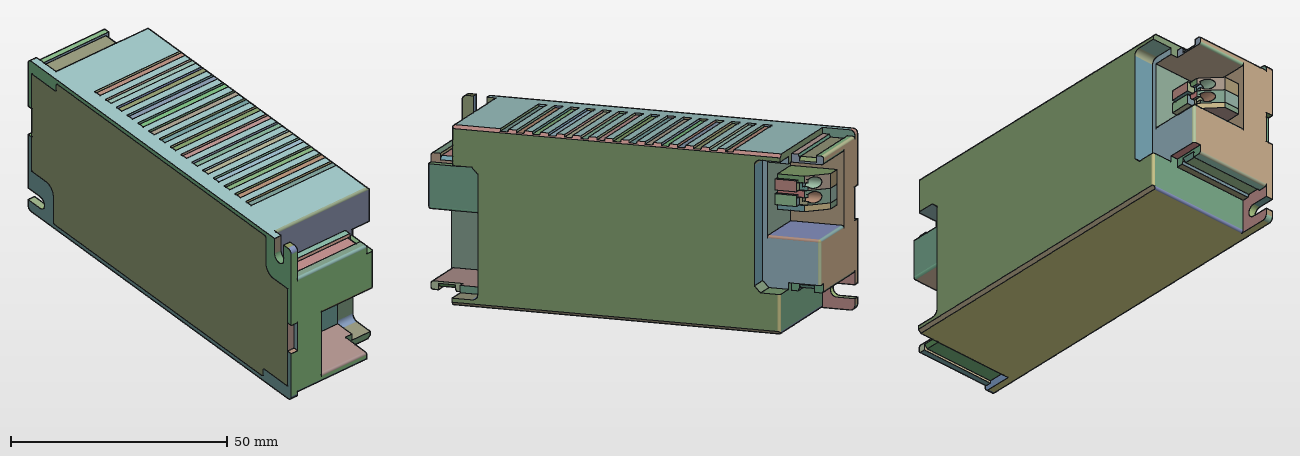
import cadquery as cq

length = 97.0
depth = 30.0
height = 43.0
flange_thickness = 1.9
flange_corner_radius = 1.2

case_half_length = 40.5
case_back_chamfer = 0.8
case_end_rounding = 0.6

end_depth = 24.4
bracket_depth = 22.5
bracket_bottom = 8.9
bracket_top = 41.5
end_rounding = 0.6
block_bottom = 11.2
block_top = 21.9
bracket_underside = 39.5

channel_depth = 0.7
channel_inner_x = 42.5
channel_wall_slope = 0.3
channel_end_bevel = 0.9
upper_channel_outer_x = 46.7
lower_channel_outer_x = 46.2

pocket_front_y = 9.0
pocket_wall_x = 35.3

recess_wall_x = 34.1
recess_bottom = 9.6
recess_top = 41.2
recess_rounding = 1.5

lid_half_length = 47.1
lid_edge_margin = 1.2
lid_small_step_x = 38.1
lid_small_step_margin = 3.5
lid_slot_step_x = 39.2
lid_slot_step_margin = 11.6
lid_corner_radius = 0.5
lid_slot_radius = 2.7

notch_bottom = 21.4
notch_top = 29.5

slot_width = 3.3
slot_depth = 6.0
side_slot_z = 4.5
top_slot_x = 44.0

groove_count = 15
groove_pitch = 4.0
groove_width = 2.0
groove_floor_width = 1.7
groove_depth = 0.5
groove_start_y = 4.0

terminal_count = 2
terminal_height = 3.5
terminal_top = 35.1
terminal_front_x = 46.8
terminal_slope_x = 42.0
terminal_slope_start_y = 13.2
terminal_back_y = 17.75
end_plate_height = 1.5
wire_hole_y = 16.1
wire_hole_radius = 1.4
wire_hole_flat = 1.1
wire_hole_rise = 1.7
wire_hole_floor_x = 41.2
button_front_y = 17.2
button_step_y = 18.3
button_back_y = 19.3
button_height = 2.6
button_step_height = 1.8
button_face_x = 40.5


def box(x_range, y_range, z_range):
    """Box between the given limits."""
    (x0, x1), (y0, y1), (z0, z1) = x_range, y_range, z_range
    return cq.Workplane("XY").box(x1 - x0, y1 - y0, z1 - z0, centered=False).translate((x0, y0, z0))


def half_turn(shape):
    """The same shape at the other end, turned half a turn about the part's Y axis."""
    middle = height / 2
    return shape.rotate((0, 0, middle), (0, 1, middle), 180)


def prism_along_y(points, start_y, end_y):
    """Outline in X and Z, extruded along Y between the given limits."""
    return cq.Workplane("XZ", origin=(0, start_y, 0)).polyline(points).close().extrude(start_y - end_y)


def make_flange():
    flange = box((-length / 2, length / 2), (0, flange_thickness), (0, height))
    return flange.edges("|Y").fillet(flange_corner_radius)


def make_case():
    case = box((-case_half_length, case_half_length), (0, depth), (0, height))
    case = case.edges("|X and >Y").chamfer(case_back_chamfer)
    case = case.edges("(|Y and <X and <Z) or (|Y and >X and >Z)").fillet(case_end_rounding)
    trimming = make_case_corner_trimming()
    return case.cut(trimming).cut(half_turn(trimming))


def make_case_corner_trimming():
    """Material outside the rounded upright edge below the back recess."""
    inner_x = -case_half_length + case_end_rounding
    inner_y = depth - case_end_rounding
    corner = box((-case_half_length, inner_x), (inner_y, depth), (0, recess_bottom))
    rounding = (
        cq.Workplane("XY").center(inner_x, inner_y).circle(case_end_rounding).extrude(recess_bottom)
    )
    return corner.cut(rounding)


def make_bracket():
    bracket = box(
        (-length / 2, -case_half_length), (0, bracket_depth), (bracket_bottom, bracket_top)
    )
    return bracket.edges("|Y and <X").fillet(end_rounding)


def make_end_block():
    """Block below the terminal pocket, rounded along its outer edges."""
    block = box(
        (-length / 2, -pocket_wall_x), (pocket_front_y, end_depth), (block_bottom, block_top)
    )
    return block.edges("(|Y and <X and >Z) or (|X and >Y and >Z) or (|Z and <X and >Y)").fillet(
        end_rounding
    )


def make_channel(outer_x, side, inward):
    """Channel cut inward from a bracket side; its inner wall slopes and its floor is bevelled."""
    floor = side + inward * channel_depth
    channel = prism_along_y(
        [
            (-outer_x, side),
            (-outer_x, floor),
            (-channel_inner_x, floor),
            (-channel_inner_x + channel_wall_slope, side),
        ],
        flange_thickness,
        bracket_depth,
    )
    bevel = (
        cq.Workplane("YZ", origin=(-outer_x, 0, 0))
        .polyline(
            [
                (bracket_depth - channel_end_bevel, floor),
                (bracket_depth, floor),
                (bracket_depth, floor + inward * channel_end_bevel),
            ]
        )
        .close()
        .extrude(outer_x - channel_inner_x)
    )
    return channel.union(bevel)


def make_terminal_pocket():
    """Opening for the terminals and, below it, the seat of the end block."""
    pocket = box(
        (-length / 2, -pocket_wall_x),
        (pocket_front_y, end_depth),
        (block_bottom, bracket_underside),
    )
    outer_edge = box(
        (-length / 2, -length / 2 + end_rounding),
        (pocket_front_y, end_depth),
        (bracket_underside, bracket_underside + end_rounding),
    )
    rounding = (
        cq.Workplane("XZ", origin=(0, pocket_front_y, 0))
        .center(-length / 2 + end_rounding, bracket_underside + end_rounding)
        .circle(end_rounding)
        .extrude(pocket_front_y - end_depth)
    )
    return pocket.union(outer_edge.cut(rounding))


def make_back_recess():
    recess = box(
        (-case_half_length, -recess_wall_x), (end_depth, depth), (recess_bottom, recess_top)
    )
    recess = recess.edges("|Y and >X and >Z").fillet(recess_rounding)
    return recess.edges("|Y and >X and <Z").chamfer(block_bottom - recess_bottom)


def edges_at(corner):
    """Selector for the lid edge at a corner (X, Z) and the edge half a turn away from it."""
    reach = lid_corner_radius / 2

    def around(x, z):
        return cq.selectors.BoxSelector(
            (x - reach, 0, z - reach), (x + reach, flange_thickness, z + reach)
        )

    x, z = corner
    return around(x, z) + around(-x, height - z)


def make_lid():
    """Lid outline: small steps at two corners, larger ones around the mounting slots."""
    lower_half = [
        (-lid_half_length, lid_slot_step_margin),
        (-lid_slot_step_x, lid_slot_step_margin),
        (-lid_slot_step_x, lid_edge_margin),
        (lid_small_step_x, lid_edge_margin),
        (lid_small_step_x, lid_small_step_margin),
        (lid_half_length, lid_small_step_margin),
    ]
    upper_half = [(-x, height - z) for x, z in lower_half]
    lid = prism_along_y(lower_half + upper_half, 0, flange_thickness)

    lid = lid.edges(edges_at((-lid_slot_step_x, lid_slot_step_margin))).fillet(lid_slot_radius)
    small_corners = (
        (-lid_slot_step_x, lid_edge_margin),
        (lid_small_step_x, lid_edge_margin),
        (lid_small_step_x, lid_small_step_margin),
    )
    for corner in small_corners:
        lid = lid.edges(edges_at(corner)).fillet(lid_corner_radius)
    return lid


def make_end_notch():
    return box(
        (-length / 2, -lid_half_length), (0, flange_thickness), (notch_bottom, notch_top)
    )


def make_side_slot():
    """Mounting slot open toward -X."""
    radius = slot_width / 2
    end_x = -length / 2 + slot_depth - radius
    round_end = cq.Workplane("XZ").center(end_x, side_slot_z).circle(radius).extrude(-flange_thickness)
    straight = box(
        (-length / 2, end_x), (0, flange_thickness), (side_slot_z - radius, side_slot_z + radius)
    )
    return straight.union(round_end)


def make_top_slot():
    """Mounting slot open toward +Z."""
    radius = slot_width / 2
    end_z = height - slot_depth + radius
    round_end = cq.Workplane("XZ").center(top_slot_x, end_z).circle(radius).extrude(-flange_thickness)
    straight = box(
        (top_slot_x - radius, top_slot_x + radius), (0, flange_thickness), (end_z, height)
    )
    return straight.union(round_end)


def cut_grooves(housing):
    """Row of shallow grooves with sloping walls, open at the back."""
    top = groove_width / 2
    floor = groove_floor_width / 2
    for index in range(groove_count):
        x = (index - (groove_count - 1) / 2) * groove_pitch
        groove = prism_along_y(
            [
                (x - top, height),
                (x - floor, height - groove_depth),
                (x + floor, height - groove_depth),
                (x + top, height),
            ],
            groove_start_y,
            depth,
        )
        housing = housing.cut(groove)
    return housing


def make_housing(lid):
    bracket = make_bracket()
    block = make_end_block()
    housing = make_flange().union(make_case()).union(bracket).union(half_turn(bracket))
    cutters = [
        make_channel(upper_channel_outer_x, bracket_top, -1),
        make_channel(lower_channel_outer_x, bracket_bottom, 1),
        make_terminal_pocket(),
        make_back_recess(),
        make_end_notch(),
    ]
    for cutter in cutters:
        housing = housing.cut(cutter).cut(half_turn(cutter))
    housing = housing.union(block).union(half_turn(block))
    housing = housing.cut(make_side_slot()).cut(make_top_slot())
    return cut_grooves(housing).cut(lid)


def terminal_body(bottom, thickness):
    """Terminal profile with a sloping front, extruded upward."""
    return (
        cq.Workplane("XY", origin=(0, 0, bottom))
        .polyline(
            [
                (-pocket_wall_x, pocket_front_y),
                (-terminal_front_x, pocket_front_y),
                (-terminal_front_x, terminal_slope_start_y),
                (-terminal_slope_x, terminal_back_y),
                (-pocket_wall_x, terminal_back_y),
            ]
        )
        .close()
        .extrude(thickness)
    )


def make_terminal(bottom):
    """One terminal with its stepped release button and wire hole."""
    button_points = [
        (button_front_y, 0),
        (button_back_y, 0),
        (button_back_y, button_height),
        (button_step_y, button_height),
        (button_step_y, button_step_height),
        (button_front_y, button_step_height),
    ]
    button_plane = cq.Workplane("YZ", origin=(-button_face_x, 0, bottom))
    button = button_plane.polyline(button_points).close().extrude(button_face_x - pocket_wall_x)
    button_opening = (
        button_plane.polyline(button_points).close().extrude(button_face_x - terminal_front_x)
    )
    hole = (
        cq.Workplane("YZ", origin=(-terminal_front_x, wire_hole_y, bottom + wire_hole_rise))
        .circle(wire_hole_radius)
        .extrude(terminal_front_x - wire_hole_floor_x)
    )
    beyond_flat = box(
        (-terminal_front_x, -wire_hole_floor_x),
        (wire_hole_y + wire_hole_flat, end_depth),
        (bottom, bottom + terminal_height),
    )
    body = terminal_body(bottom, terminal_height)
    return body.union(button).cut(button_opening).cut(hole.cut(beyond_flat))


lid = make_lid()
housing = make_housing(lid)
terminals = [
    make_terminal(terminal_top - (index + 1) * terminal_height) for index in range(terminal_count)
]
end_plate_bottom = terminal_top - terminal_count * terminal_height - end_plate_height
end_plate = terminal_body(end_plate_bottom, end_plate_height)

result = cq.Compound.makeCompound(
    [housing.val(), lid.val(), *[terminal.val() for terminal in terminals], end_plate.val()]
)